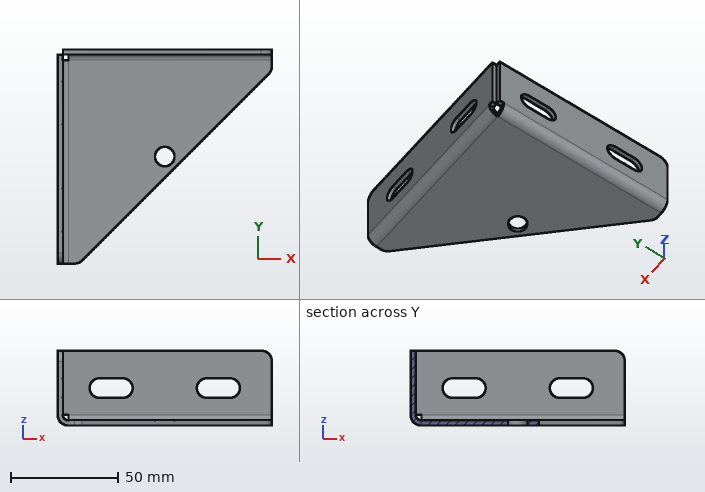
import cadquery as cq

leg = 100.0
height = 35.0
thickness = 2.5
inner_bend_radius = 2.5
outer_bend_radius = inner_bend_radius + thickness

base_end_width = 10.0
corner_radius = 5.0
hole_diameter = 9.0

slot_length = 20.0
slot_width = 9.0
slot_height = 17.5
slot_positions = (leg / 4, 3 * leg / 4)


def make_base():
    """Flat triangular plate inside the bend lines, with rounded tips and a hole."""
    bend_x = outer_bend_radius
    bend_y = leg - outer_bend_radius
    plate = (
        cq.Workplane("XY")
        .moveTo(bend_x, bend_y)
        .lineTo(bend_x, 0)
        .lineTo(base_end_width, 0)
        .lineTo(leg, leg - base_end_width)
        .lineTo(leg, bend_y)
        .close()
        .extrude(thickness)
    )
    front_tip = cq.selectors.NearestToPointSelector((base_end_width, 0, thickness / 2))
    right_tip = cq.selectors.NearestToPointSelector((leg, leg - base_end_width, thickness / 2))
    plate = plate.edges(front_tip + right_tip).fillet(corner_radius)
    hole = cq.Workplane("XY").center(leg / 2, leg / 2).circle(hole_diameter / 2).extrude(thickness)
    return plate.cut(hole)


def make_back_flange():
    """Slotted wall on the +Y side together with the bend joining it to the base."""
    wall_start = thickness
    wall = (
        cq.Workplane("XY")
        .box(leg - wall_start, thickness, height - outer_bend_radius, centered=False)
        .translate((wall_start, leg - thickness, outer_bend_radius))
        .edges("|Y and >X and >Z")
        .fillet(corner_radius)
    )
    slots = (
        cq.Workplane("XZ", origin=(0, leg, 0))
        .pushPoints([(x, slot_height) for x in slot_positions])
        .slot2D(slot_length, slot_width)
        .extrude(thickness)
    )

    bend_start = outer_bend_radius
    bend_length = leg - bend_start
    bend_centre = (bend_start, leg - outer_bend_radius, outer_bend_radius)
    ring = (
        cq.Workplane("YZ", origin=bend_centre)
        .circle(outer_bend_radius)
        .circle(inner_bend_radius)
        .extrude(bend_length)
    )
    quadrant = (
        cq.Workplane("XY")
        .box(bend_length, outer_bend_radius, outer_bend_radius, centered=False)
        .translate((bend_start, leg - outer_bend_radius, 0))
    )
    return wall.cut(slots).union(ring.intersect(quadrant))


back_flange = make_back_flange()
left_flange = back_flange.mirror(cq.Vector(1, 1, 0), (leg / 2, leg / 2, 0))

result = make_base().union(back_flange).union(left_flange)